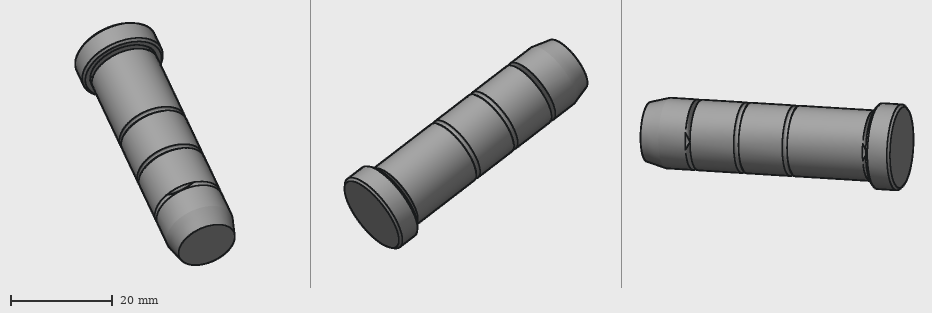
import cadquery as cq
import math

total_length = 52.0
head_diameter = 17.0
head_length = 5.0
head_chamfer = 0.5
shank_diameter = 14.0

taper_length = 4.0
taper_angle = 15.0

groove_radius = 0.5
first_groove_x = 22.0
groove_pitch = 10.0
groove_count = 3

head_radius = head_diameter / 2
shank_radius = shank_diameter / 2
tip_radius = shank_radius - taper_length * math.tan(math.radians(taper_angle))


def make_pin():
    """Revolve the stepped outline: chamfered head, shank and tapered tip."""
    outline = (
        cq.Workplane("XY")
        .lineTo(0, head_radius - head_chamfer)
        .lineTo(head_chamfer, head_radius)
        .lineTo(head_length - head_chamfer, head_radius)
        .lineTo(head_length, head_radius - head_chamfer)
        .lineTo(head_length, shank_radius)
        .lineTo(total_length - taper_length, shank_radius)
        .lineTo(total_length, tip_radius)
        .lineTo(total_length, 0)
        .close()
    )
    return outline.revolve(360, (0, 0, 0), (1, 0, 0))


def make_groove_cutter(center_x):
    """Ring of round section, centred on the shank surface."""
    section = cq.Workplane("XY").center(center_x, shank_radius).circle(groove_radius)
    return section.revolve(360, (0, -shank_radius, 0), (1, -shank_radius, 0))


neck_x = head_length + groove_radius
groove_centers = [neck_x]
for index in range(groove_count):
    groove_centers.append(first_groove_x + index * groove_pitch)

result = make_pin()
for center_x in groove_centers:
    result = result.cut(make_groove_cutter(center_x))